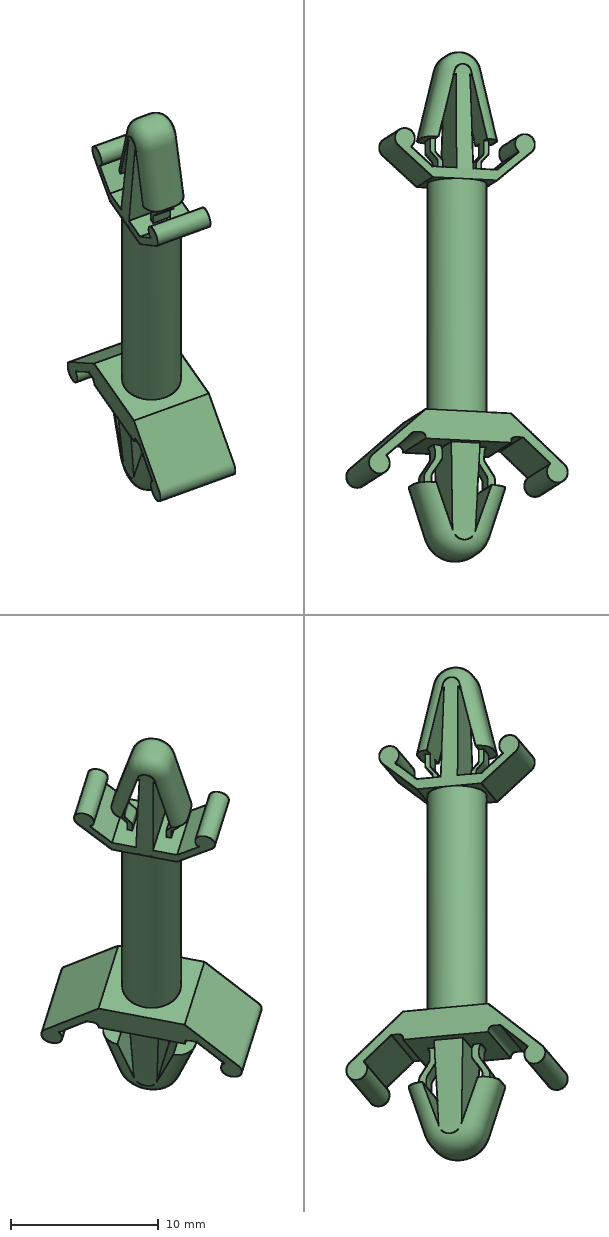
import cadquery as cq
import math

TOTAL_HEIGHT = 34.9
SHAFT_DIAMETER = 4.0
SHAFT_RADIUS = SHAFT_DIAMETER / 2

LOWER_SPAN = 14.0
LOWER_WIDTH = 5.7
LOWER_TOP_Z = 9.77
LOWER_SEAT_Z = 7.75
LOWER_HALF_LENGTH = 3.0
LOWER_BEAD_RADIUS = 0.75
LOWER_BEAD_Z = 5.9
LOWER_WING_DEPTH = 0.87
NOTCH_ROOF_Z = 8.15
NOTCH_INNER_RADIUS = 0.35

UPPER_SPAN = 9.85
UPPER_WIDTH = SHAFT_DIAMETER
UPPER_SEAT_Z = 26.65
UPPER_THICKNESS = 0.75
UPPER_HALF_LENGTH = 2.27
UPPER_BEAD_RADIUS = 0.7
UPPER_BEAD_Z = 28.5

SPRING_WIDTH = 1.3

UPPER_CLIP = dict(
    tip_height=TOTAL_HEIGHT - UPPER_SEAT_Z,
    dome_radius=1.5,
    half_depth=1.5,
    edge_fillet=1.0,
    leg_end_height=2.2,
    leg_outer_x=2.65,
    leg_inner_x=1.7,
    slot_radius=0.6,
    crown_thickness=0.98,
    blade_base=(0.6, SHAFT_RADIUS),
    blade_tip_half_width=0.5,
    blade_bend_height=6.55,
    spring_path=[(1.35, 0), (1.35, 0.75), (1.9, 1.3)],
    spring_thickness=0.35,
    spring_bend_radius=0.2,
)
LOWER_CLIP = dict(
    tip_height=LOWER_SEAT_Z,
    dome_radius=2.15,
    half_depth=1.75,
    edge_fillet=1.2,
    leg_end_height=2.75,
    leg_outer_x=3.2,
    leg_inner_x=1.95,
    slot_radius=0.8,
    crown_thickness=1.1,
    blade_base=(1.0, 2.15),
    blade_tip_half_width=0.8,
    blade_bend_height=6.0,
    spring_path=[(1.6, 0), (1.45, 0.28), (1.45, 0.9), (2.25, 2.05)],
    spring_thickness=0.52,
    spring_bend_radius=0.52,
)


def tangent_point(center, radius, start, side):
    """Point where the line from start touches the circle; side (+1 or -1) picks which of the two."""
    dx = start[0] - center[0]
    dz = start[1] - center[1]
    angle = math.atan2(dz, dx) + side * math.acos(radius / math.hypot(dx, dz))
    return (center[0] + radius * math.cos(angle), center[1] + radius * math.sin(angle))


def prism(outline, width):
    """Extrude a closed XZ outline by width, centred on Y = 0."""
    return outline.close().extrude(width / 2, both=True)


def both_sides(body):
    return body.union(body.mirror("YZ"))


def wing(root, touch, bead_center, bead_radius, depth, width):
    """One +X wing: a strip from root to its touch point on a bead; depth is its signed size along Z."""
    strip = prism(
        cq.Workplane("XZ").polyline([
            root,
            touch,
            (touch[0], touch[1] + depth),
            (root[0], root[1] + depth),
        ]),
        width,
    )
    bead = (
        cq.Workplane("XZ", origin=(0, width / 2, 0))
        .center(*bead_center)
        .circle(bead_radius)
        .extrude(width)
    )
    return strip.union(bead)


def domed_outline(half_width, base_height, center_height, radius):
    """XZ outline with a flat base and sloping sides that run tangentially into a round top."""
    right = tangent_point((0, center_height), radius, (half_width, base_height), 1)
    return (
        cq.Workplane("XZ")
        .moveTo(-half_width, base_height)
        .lineTo(half_width, base_height)
        .lineTo(*right)
        .threePointArc((0, center_height + radius), (-right[0], right[1]))
    )


def clip_head(clip):
    """Domed arrowhead, rounded along its outer edges and split into two legs by a slot."""
    depth = 2 * clip["half_depth"]
    dome_center = clip["tip_height"] - clip["dome_radius"]
    head = prism(
        domed_outline(clip["leg_outer_x"], clip["leg_end_height"], dome_center, clip["dome_radius"]),
        depth,
    )
    head = head.faces("<Y or >Y").edges("not <Z").fillet(clip["edge_fillet"])
    slot_center = clip["tip_height"] - clip["crown_thickness"] - clip["slot_radius"]
    slot = prism(
        domed_outline(clip["leg_inner_x"], clip["leg_end_height"], slot_center, clip["slot_radius"]),
        depth,
    )
    crown_fill = slot.intersect(
        cq.Workplane("XY", origin=(0, 0, clip["blade_bend_height"])).rect(depth, depth).extrude(depth)
    )
    return head.cut(slot).union(crown_fill)


def clip_blade(clip):
    """Central blade, tapering in width and depth from the plate up to the crown."""
    half_width, half_depth = clip["blade_base"]
    return (
        cq.Workplane("XY")
        .rect(2 * half_width, 2 * half_depth)
        .workplane(offset=clip["blade_bend_height"])
        .rect(2 * clip["blade_tip_half_width"], 2 * clip["half_depth"])
        .loft(ruled=True)
    )


def clip_spring(clip):
    """S-bent strip joining the +X leg to the plate."""
    bends = clip["spring_path"]
    path = bends + [(bends[-1][0], clip["leg_end_height"])]
    half = clip["spring_thickness"] / 2
    inner = [(x - half, z) for x, z in path]
    outer = [(x + half, z) for x, z in reversed(path)]
    strip = prism(cq.Workplane("XZ").polyline(inner + outer), SPRING_WIDTH)
    return strip.edges("|Y").edges("not(<Z or >Z)").fillet(clip["spring_bend_radius"])


def snap_clip(clip):
    return clip_blade(clip).union(clip_head(clip)).union(both_sides(clip_spring(clip)))


def lower_plate():
    block = (
        cq.Workplane("XY", origin=(0, 0, LOWER_SEAT_Z))
        .rect(2 * LOWER_HALF_LENGTH, LOWER_WIDTH)
        .extrude(LOWER_TOP_Z - LOWER_SEAT_Z)
    )
    root = (LOWER_HALF_LENGTH, LOWER_TOP_Z)
    bead_center = (LOWER_SPAN / 2 - LOWER_BEAD_RADIUS, LOWER_BEAD_Z)
    touch = tangent_point(bead_center, LOWER_BEAD_RADIUS, root, -1)
    arm = wing(root, touch, bead_center, LOWER_BEAD_RADIUS, -LOWER_WING_DEPTH, LOWER_WIDTH)
    slope = (root[1] - touch[1]) / (touch[0] - root[0])
    roof_end_x = LOWER_HALF_LENGTH + (LOWER_TOP_Z - LOWER_WING_DEPTH - NOTCH_ROOF_Z) / slope
    gusset = prism(
        cq.Workplane("XZ")
        .moveTo(*root)
        .lineTo(LOWER_HALF_LENGTH, NOTCH_ROOF_Z - NOTCH_INNER_RADIUS)
        .radiusArc((LOWER_HALF_LENGTH + NOTCH_INNER_RADIUS, NOTCH_ROOF_Z), NOTCH_INNER_RADIUS)
        .lineTo(roof_end_x, NOTCH_ROOF_Z),
        LOWER_WIDTH,
    )
    return block.union(both_sides(arm.union(gusset)))


def upper_plate():
    underside_z = UPPER_SEAT_Z - UPPER_THICKNESS
    plate = (
        cq.Workplane("XY", origin=(0, 0, underside_z))
        .rect(2 * UPPER_HALF_LENGTH, UPPER_WIDTH)
        .extrude(UPPER_THICKNESS)
    )
    root = (UPPER_HALF_LENGTH, underside_z)
    bead_center = (UPPER_SPAN / 2 - UPPER_BEAD_RADIUS, UPPER_BEAD_Z)
    touch = tangent_point(bead_center, UPPER_BEAD_RADIUS, root, 1)
    arm = wing(root, touch, bead_center, UPPER_BEAD_RADIUS, UPPER_THICKNESS, UPPER_WIDTH)
    return plate.union(both_sides(arm))


shaft = (
    cq.Workplane("XY", origin=(0, 0, LOWER_TOP_Z))
    .circle(SHAFT_RADIUS)
    .extrude(UPPER_SEAT_Z - LOWER_TOP_Z)
)
upper_clip = snap_clip(UPPER_CLIP).translate((0, 0, UPPER_SEAT_Z))
lower_clip = (
    snap_clip(LOWER_CLIP)
    .rotate((0, 0, 0), (1, 0, 0), 180)
    .translate((0, 0, LOWER_SEAT_Z))
)
result = shaft.union(lower_plate()).union(upper_plate()).union(upper_clip).union(lower_clip)